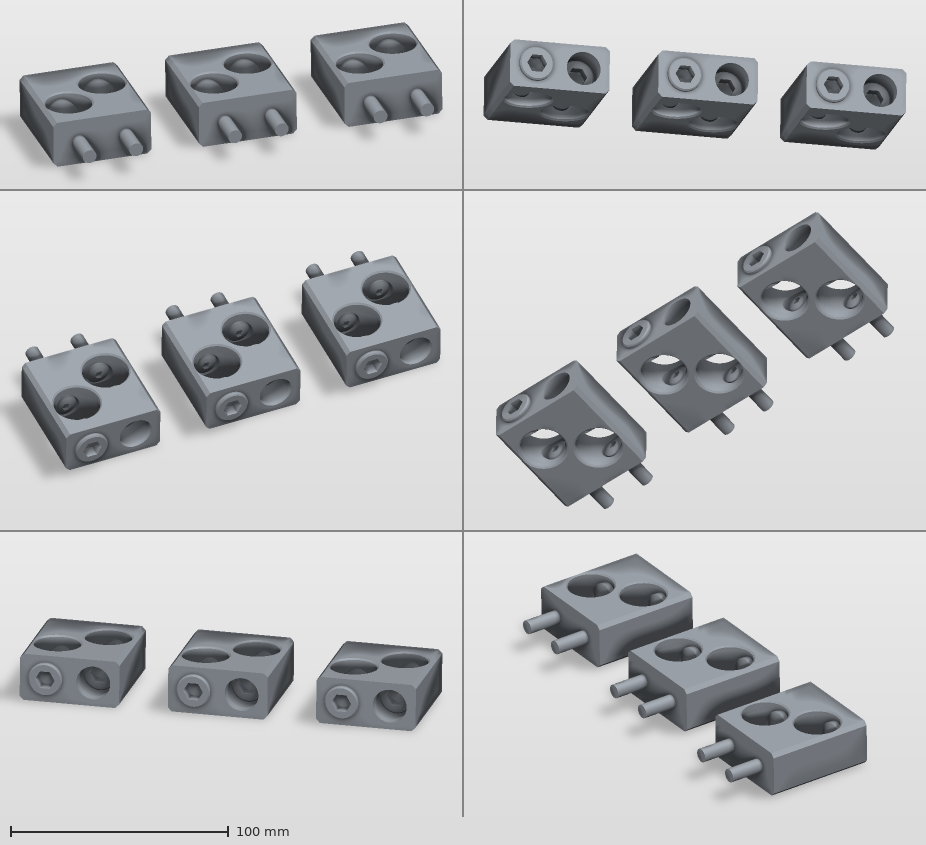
import cadquery as cq
import math

BLOCK_COUNT = 3
BLOCK_PITCH = 70.0
TILT = 0.7

BLOCK_LENGTH = 52.0
BLOCK_WIDTH = 47.0
BLOCK_HEIGHT = 22.5
EDGE_CHAMFER = 1.9

WIRE_HOLE_DIAMETER = 21.7
WIRE_HOLE_CHAMFER = 0.7
WIRE_HOLE_X = 18.5
WIRE_HOLE_STAGGER = 14.8
WIRE_HOLE_OFFSET_Y = 10.3

SCREW_DIAMETER = 16.0
AXIS_OFFSET_Y = 11.2

SCREW_LENGTH = 12.7
SCREW_PROTRUSION = 2.0
SCREW_CHAMFER = 0.65
POINT_LENGTH = 4.9
SOCKET_FLATS = 8.0
SOCKET_DEPTH = 5.6
SOCKET_CONE_LENGTH = 2.6

PIN_DIAMETER = 6.5
PIN_PROTRUSION = 16.5
HEAD_BORE_DIAMETER = 13.0
HEAD_DIAMETER = 11.2
HEAD_LENGTH = 4.7
DOME_HEIGHT = 1.7
HEAD_SOCKET_FLATS = 3.7
HEAD_SOCKET_DEPTH = 1.9

STATIONS = [(0.0, 1, 9.7), (WIRE_HOLE_STAGGER, -1, 9.0)]


def x_cylinder(diameter, x_start, x_end):
    """Cylinder along X between two x positions, centred on y = z = 0."""
    return cq.Workplane("YZ", origin=(x_start, 0, 0)).circle(diameter / 2).extrude(x_end - x_start)


def x_cone(diameter, x_base, length):
    """Cone along X with its base at x_base and its apex towards +X."""
    return cq.Workplane(cq.Solid.makeCone(
        diameter / 2, 0, length, pnt=cq.Vector(x_base, 0, 0), dir=cq.Vector(1, 0, 0)))


def hexagon_bar(flats, x_start, length):
    """Hexagonal bar along X, with two corners pointing along Y."""
    corners = flats / math.cos(math.radians(30))
    return cq.Workplane("YZ", origin=(x_start, 0, 0)).polygon(6, corners).extrude(length)


def block_body():
    """Rectangular block with its four long edges chamfered."""
    return (
        cq.Workplane("XY")
        .box(BLOCK_LENGTH, BLOCK_WIDTH, BLOCK_HEIGHT, centered=(False, True, True))
        .edges("|X")
        .chamfer(EDGE_CHAMFER)
    )


def wire_hole(x_center):
    """Cutter for a vertical through hole, chamfered at both mouths."""
    mouth_diameter = WIRE_HOLE_DIAMETER + 2 * WIRE_HOLE_CHAMFER
    waist = cq.Workplane("XY").circle(WIRE_HOLE_DIAMETER / 2).extrude(BLOCK_HEIGHT, both=True)
    mouth = cq.Workplane(cq.Solid.makeCone(
        WIRE_HOLE_DIAMETER / 2, mouth_diameter / 2, WIRE_HOLE_CHAMFER,
        pnt=cq.Vector(0, 0, BLOCK_HEIGHT / 2 - WIRE_HOLE_CHAMFER)))
    return waist.union(mouth).union(mouth.mirror("XY")).translate((x_center, 0, 0))


def clamp_screw(x_head):
    """Headless screw with chamfered rim, hexagon socket with a conical floor, and a cone point."""
    shank = x_cylinder(SCREW_DIAMETER, 0, SCREW_LENGTH).faces("<X").chamfer(SCREW_CHAMFER)
    socket = hexagon_bar(SOCKET_FLATS, 0, SOCKET_DEPTH)
    socket_floor = x_cone(SOCKET_FLATS, SOCKET_DEPTH, SOCKET_CONE_LENGTH)
    point = x_cone(SCREW_DIAMETER, SCREW_LENGTH, POINT_LENGTH)
    return shank.union(point).cut(socket).cut(socket_floor).translate((x_head, 0, 0))


def pin_head(x_tip):
    """Round head standing on the floor of its bore, domed towards -X, with a hexagon socket."""
    radius = HEAD_DIAMETER / 2
    dome_radius = (radius**2 + DOME_HEIGHT**2) / (2 * DOME_HEIGHT)
    mid_angle = math.asin(radius / dome_radius) / 2
    dome_middle = (dome_radius * (1 - math.cos(mid_angle)), dome_radius * math.sin(mid_angle))
    head = (
        cq.Workplane("XY")
        .moveTo(0, 0)
        .threePointArc(dome_middle, (DOME_HEIGHT, radius))
        .lineTo(HEAD_LENGTH, radius)
        .lineTo(HEAD_LENGTH, 0)
        .close()
        .revolve(360, (0, 0, 0), (1, 0, 0))
    )
    return head.cut(hexagon_bar(HEAD_SOCKET_FLATS, 0, HEAD_SOCKET_DEPTH)).translate((x_tip, 0, 0))


def terminal_block():
    """One block with its two wire holes, clamp screws and pins."""
    body = block_body()
    for x_shift, side, tip_distance in STATIONS:
        hole_x = WIRE_HOLE_X + x_shift
        head_tip_x = hole_x + tip_distance
        axis_y = side * AXIS_OFFSET_Y
        screw_bore = x_cylinder(SCREW_DIAMETER, 0, hole_x)
        head_bore = x_cylinder(HEAD_BORE_DIAMETER, hole_x, head_tip_x + HEAD_LENGTH)
        screw = clamp_screw(x_shift - SCREW_PROTRUSION)
        head = pin_head(head_tip_x)
        pin = x_cylinder(PIN_DIAMETER, BLOCK_LENGTH, BLOCK_LENGTH + PIN_PROTRUSION)
        body = body.cut(wire_hole(hole_x).translate((0, side * WIRE_HOLE_OFFSET_Y, 0)))
        for bore in (screw_bore, head_bore):
            body = body.cut(bore.translate((0, axis_y, 0)))
        for fitting in (screw, head, pin):
            body = body.union(fitting.translate((0, axis_y, 0)))
    return body.rotate((0, 0, 0), (1, 0, 0), TILT)


block = terminal_block()
blocks = []
for index in range(BLOCK_COUNT):
    block_y = (index - (BLOCK_COUNT - 1) / 2) * BLOCK_PITCH
    blocks.append(block.translate((0, block_y, 0)).val())

result = cq.Compound.makeCompound(blocks)